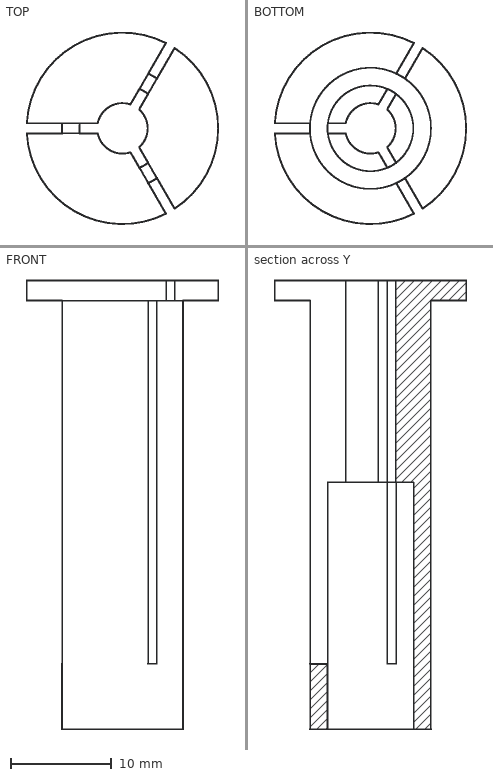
import cadquery as cq

total_height = 44.5
flange_diameter = 19.0
flange_thickness = 2.0

shank_diameter = 12.0

grip_bore_diameter = 5.0
clearance_bore_diameter = 8.5
clearance_bore_depth = 24.48

slot_count = 3
slot_width = 1.0
slot_floor = 6.5
first_slot_angle = 180.0


def cylinder(diameter, bottom, top):
    """Vertical cylinder on the part axis between two heights."""
    return cq.Workplane("XY").workplane(offset=bottom).circle(diameter / 2).extrude(top - bottom)


def slot_cutter(angle):
    """Radial slot from the axis outward, open at the top."""
    height = total_height - slot_floor
    return (
        cq.Workplane("XY")
        .workplane(offset=slot_floor)
        .box(flange_diameter, slot_width, height, centered=(False, True, False))
        .rotate((0, 0, 0), (0, 0, 1), angle)
    )


body = cylinder(shank_diameter, 0, total_height)
body = body.union(cylinder(flange_diameter, total_height - flange_thickness, total_height))

body = body.cut(cylinder(grip_bore_diameter, 0, total_height))
body = body.cut(cylinder(clearance_bore_diameter, 0, clearance_bore_depth))

for index in range(slot_count):
    body = body.cut(slot_cutter(first_slot_angle + index * 360 / slot_count))

result = body